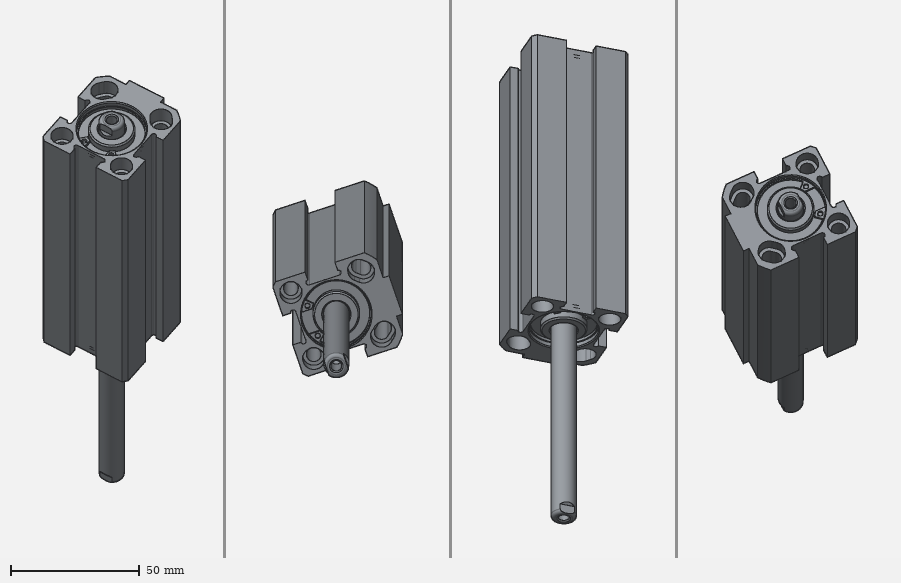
import cadquery as cq
import math

rod_length = 211.5
housing_length = 120.0
rod_top_overhang = 5.5
housing_top = rod_length - rod_top_overhang
housing_bottom = housing_top - housing_length
housing_middle = (housing_top + housing_bottom) / 2

housing_width = 40.0
overall_depth = 44.5
half_width = housing_width / 2
front_y = -half_width
shoulder_y = 22.0
ridge_y = front_y + overall_depth
ridge_width = 16.3
corner_radius = 27.0
slot_width = 12.3
slot_floor = 14.5
relief_diameter = 2.0

mount_offset = 14.0
mount_diameter = 5.7
mount_cbore_diameter = 8.7
mount_cbore_depth = 7.0
slotted_shift_x = 1.3
slotted_shift_y = 1.5

recess_diameter = 27.0
recess_mouth_diameter = 28.0
groove_diameter = 28.3
ring_inner_diameter = 26.0
ring_depth = 2.1
ring_thickness = 1.3
recess_depth = ring_depth + ring_thickness
ring_gap = 9.3
lug_inner_diameter = 19.2
lug_outer_diameter = 26.6
lug_angle = 42.0
lug_hole_diameter = 2.0
lug_hole_radius = 11.6
lug_hole_angle = 33.0
boss_diameter = 18.2
boss_chamfer = 0.6
cover_length = 12.0

rod_diameter = 10.0
rod_fillet = 1.5
flat_spacing = 8.0
flat_length = 3.8
wiper_diameter = 10.5
wiper_depth = 2.0
wiper_mouth_diameter = 11.5
tap_diameter = 4.2
tap_mouth_diameter = 5.3
tap_depth = 12.0
drill_half_angle = 59.0


def cylinder(diameter, z_low, z_high):
    return cq.Workplane("XY", origin=(0, 0, z_low)).circle(diameter / 2).extrude(z_high - z_low)


def mirror_ends(shape, z_middle):
    """Turn a shape made for the top end into the matching one for the bottom end."""
    return shape.mirror("XY", (0, 0, z_middle))


def housing_block(x_low, x_high, y_low, y_high):
    """Rectangular bar over the full housing length."""
    return (
        cq.Workplane("XY", origin=(0, 0, housing_bottom))
        .center((x_low + x_high) / 2, (y_low + y_high) / 2)
        .rect(x_high - x_low, y_high - y_low)
        .extrude(housing_length)
    )


def make_profile():
    """Body with corners rounded about the rod axis and a ridge on +Y, before its slots are cut."""
    block = housing_block(-half_width, half_width, front_y, shoulder_y)
    rounded = block.intersect(cylinder(2 * corner_radius, housing_bottom, housing_top))
    ridge = housing_block(-ridge_width / 2, ridge_width / 2, 0, ridge_y)
    return rounded.union(ridge)


def make_slot():
    """Long slot on the +X side with a round relief at each floor corner."""
    slot = housing_block(slot_floor, half_width, -slot_width / 2, slot_width / 2)
    relief_x = slot_floor + relief_diameter / 2
    reliefs = (
        cq.Workplane("XY", origin=(0, 0, housing_bottom))
        .pushPoints([(relief_x, -slot_width / 2), (relief_x, slot_width / 2)])
        .circle(relief_diameter / 2)
        .extrude(housing_length)
    )
    return slot.union(reliefs)


def make_mount_prism(side, slotted, diameter, z_low, z_high):
    """Round prism at a front corner, or obround prism at a back corner, on side -1 or +1 in X."""
    plane = cq.Workplane("XY", origin=(0, 0, z_low))
    if not slotted:
        return plane.center(side * mount_offset, -mount_offset).circle(diameter / 2).extrude(z_high - z_low)
    shift = math.hypot(slotted_shift_x, slotted_shift_y)
    angle = math.degrees(math.atan2(slotted_shift_y, -side * slotted_shift_x))
    return (
        plane.center(side * (mount_offset - slotted_shift_x / 2), mount_offset + slotted_shift_y / 2)
        .slot2D(shift + diameter, diameter, angle)
        .extrude(z_high - z_low)
    )


def cut_mounting_holes(body):
    """Four through holes, counterbored from both ends."""
    for side in (-1, 1):
        for slotted in (False, True):
            body = body.cut(make_mount_prism(side, slotted, mount_diameter, housing_bottom, housing_top))
            for z_low in (housing_bottom, housing_top - mount_cbore_depth):
                z_high = z_low + mount_cbore_depth
                body = body.cut(make_mount_prism(side, slotted, mount_cbore_diameter, z_low, z_high))
    return body


def make_ring_groove():
    ring_top = housing_top - ring_depth
    return cylinder(groove_diameter, ring_top - ring_thickness, ring_top)


def make_chamfered_bore(diameter, mouth_diameter, depth):
    """Round bore cut down from the top end, with a 45 degree chamfer at its mouth."""
    radius = diameter / 2
    mouth_radius = mouth_diameter / 2
    return (
        cq.Workplane("XZ", origin=(0, 0, housing_top))
        .polyline([
            (0, 0),
            (mouth_radius, 0),
            (radius, radius - mouth_radius),
            (radius, -depth),
            (0, -depth),
        ])
        .close()
        .revolve(360, (0, 0, 0), (0, 1, 0))
    )


def make_recess(depth):
    """End recess that holds the retaining ring."""
    return make_chamfered_bore(recess_diameter, recess_mouth_diameter, depth)


def make_boss():
    """Chamfered boss that fills the middle of the end recess."""
    boss = cylinder(boss_diameter, housing_top - recess_depth, housing_top)
    return boss.faces(">Z").chamfer(boss_chamfer)


def make_wiper_recess():
    """Clearance around the rod at the end face."""
    return make_chamfered_bore(wiper_diameter, wiper_mouth_diameter, wiper_depth)


def make_housing():
    """Extruded body; the top end takes the cover, the bottom end wall and boss are part of it."""
    body = make_profile()
    slot = make_slot()
    for angle in (0, 180, 270):
        body = body.cut(slot.rotate((0, 0, 0), (0, 0, 1), angle))
    body = cut_mounting_holes(body)

    cover_seat = make_recess(recess_depth + cover_length)
    body = body.cut(cover_seat).cut(make_ring_groove())

    end_recess = make_recess(recess_depth).union(make_ring_groove()).cut(make_boss()).union(make_wiper_recess())
    body = body.cut(mirror_ends(end_recess, housing_middle))
    return body.cut(cylinder(rod_diameter, housing_bottom, housing_top))


def make_cover():
    """Rod cover: a disc under the retaining ring with a boss level with the housing end."""
    disc_top = housing_top - recess_depth
    disc = cylinder(recess_diameter, disc_top - cover_length, disc_top)
    rod_hole = cylinder(rod_diameter, disc_top - cover_length, housing_top)
    return disc.union(make_boss()).cut(rod_hole).cut(make_wiper_recess())


def polar_from_front(radius, angle):
    """Point at a radius and at an angle measured from -Y toward +X."""
    return (radius * math.sin(math.radians(angle)), -radius * math.cos(math.radians(angle)))


def make_retaining_ring():
    """Open ring at the top end with two drilled lugs beside its gap on -Y."""
    z_high = housing_top - ring_depth
    z_low = z_high - ring_thickness
    lug_wedge = (
        cq.Workplane("XY", origin=(0, 0, z_low))
        .polyline([
            (0, 0),
            polar_from_front(groove_diameter, -lug_angle),
            polar_from_front(groove_diameter, lug_angle),
        ])
        .close()
        .extrude(ring_thickness)
    )
    lugs = cylinder(lug_outer_diameter, z_low, z_high).cut(cylinder(lug_inner_diameter, z_low, z_high))
    lugs = lugs.intersect(lug_wedge)
    band = cylinder(groove_diameter, z_low, z_high).cut(cylinder(ring_inner_diameter, z_low, z_high))
    gap = (
        cq.Workplane("XY", origin=(0, 0, z_low))
        .center(0, -groove_diameter / 2)
        .rect(ring_gap, groove_diameter)
        .extrude(ring_thickness)
    )
    holes = (
        cq.Workplane("XY", origin=(0, 0, z_low))
        .pushPoints([polar_from_front(lug_hole_radius, side * lug_hole_angle) for side in (-1, 1)])
        .circle(lug_hole_diameter / 2)
        .extrude(ring_thickness)
    )
    return band.union(lugs).cut(gap).cut(holes)


def make_wrench_flats():
    """Material removed for two flats at the top of the rod, each ending in a 45 degree slope."""
    inner = flat_spacing / 2
    outer = rod_diameter / 2
    flat_bottom = rod_length - flat_length
    flat = (
        cq.Workplane("YZ", origin=(-rod_diameter / 2, 0, 0))
        .polyline([
            (inner, rod_length),
            (inner, flat_bottom),
            (outer, flat_bottom - (outer - inner)),
            (outer, rod_length),
        ])
        .close()
        .extrude(rod_diameter)
    )
    return flat.union(flat.mirror("XZ"))


def make_tapped_hole():
    """Blind hole in the top of the rod with a chamfered mouth and a drill-point bottom."""
    radius = tap_diameter / 2
    mouth_radius = tap_mouth_diameter / 2
    hole_bottom = rod_length - tap_depth
    tip = hole_bottom - radius / math.tan(math.radians(drill_half_angle))
    return (
        cq.Workplane("XZ")
        .polyline([
            (0, rod_length),
            (mouth_radius, rod_length),
            (radius, rod_length - (mouth_radius - radius)),
            (radius, hole_bottom),
            (0, tip),
        ])
        .close()
        .revolve(360, (0, 0, 0), (0, 1, 0))
    )


def make_rod():
    """Through rod with rounded, flatted and tapped ends."""
    rod = cylinder(rod_diameter, 0, rod_length).faces("<Z or >Z").edges().fillet(rod_fillet)
    end_cut = make_wrench_flats().union(make_tapped_hole())
    return rod.cut(end_cut).cut(mirror_ends(end_cut, rod_length / 2))


housing = make_housing()
cover = make_cover()
rod = make_rod()
top_ring = make_retaining_ring()
bottom_ring = mirror_ends(top_ring, housing_middle)

result = cq.Compound.makeCompound([housing.val(), cover.val(), rod.val(), top_ring.val(), bottom_ring.val()])